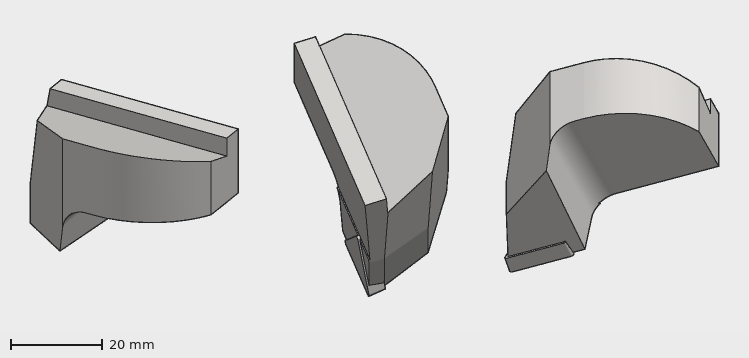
import cadquery as cq
import math

LENGTH = 49.5
INSERT_THICKNESS = 4.05
NOSE_RADIUS = 0.8
NOSE_SPACING = 13.65
INSERT_CLEARANCE = 7.0

HOLDER_LEFT = 1.25
HOLDER_BOTTOM = 0.6
LEDGE_TOP = 30.5
LEAN_START = 11.9
LEAN_ANGLE = 10.0
LEG_BOTTOM_RIGHT = 17.95
SHANK_BOTTOM = 14.55
ARCH_RADIUS = 5.95

FRONT = -25.7
PAD_BACK = -0.45
PAD_TOP = 13.1
LEDGE_BACK = -0.75
LEDGE_FRONT = -5.75
PEAK = 31.4
TOP_SLOPE = 15.0
BOTTOM_SLOPE = 5.0

FLANK_START = (HOLDER_LEFT, -INSERT_THICKNESS)
FLANK_END = (5.4, -15.8)
FLANK_LEAN = 7.1
FRONT_LEFT = (19.5, FRONT)
SWEEP_START = 27.5
SWEEP_RADIUS = 25.0

CUT_MARGIN = 4.95


def rise(run, degrees):
    return run * math.tan(math.radians(degrees))


def make_insert():
    """Equilateral triangle with rounded noses, narrowing from Y = 0 toward -Y."""
    left = NOSE_RADIUS
    right = left + NOSE_SPACING
    low = NOSE_RADIUS
    high = low + NOSE_SPACING * math.sin(math.radians(60))
    return (
        cq.Workplane("XZ")
        .polyline([(left, low), (right, low), ((left + right) / 2, high)])
        .close()
        .offset2D(NOSE_RADIUS, "arc")
        .extrude(INSERT_THICKNESS, taper=INSERT_CLEARANCE)
    )


def make_side_profile():
    """Bent holder profile, with an arched inner corner, over the full depth."""
    shank_corner = LEG_BOTTOM_RIGHT + rise(SHANK_BOTTOM - HOLDER_BOTTOM, LEAN_ANGLE)
    tangent = ARCH_RADIUS * math.tan(math.radians((90 - LEAN_ANGLE) / 2))
    lean = math.radians(LEAN_ANGLE)
    arch_low = (shank_corner - tangent * math.sin(lean), SHANK_BOTTOM - tangent * math.cos(lean))
    arch_high = (shank_corner + tangent, SHANK_BOTTOM)
    return (
        cq.Workplane("XZ", origin=(0, PAD_BACK, 0))
        .moveTo(HOLDER_LEFT, HOLDER_BOTTOM)
        .lineTo(LEG_BOTTOM_RIGHT, HOLDER_BOTTOM)
        .lineTo(*arch_low)
        .radiusArc(arch_high, ARCH_RADIUS)
        .lineTo(LENGTH, SHANK_BOTTOM)
        .lineTo(LENGTH, PEAK)
        .lineTo(HOLDER_LEFT + rise(PEAK - LEAN_START, LEAN_ANGLE), PEAK)
        .lineTo(HOLDER_LEFT, LEAN_START)
        .close()
        .extrude(PAD_BACK - FRONT)
    )


def make_plan_profile():
    """Plan outline, with a sloped flank and a swept front, over the full height."""
    sweep_run = LENGTH - SWEEP_START
    sweep_end = FRONT + SWEEP_RADIUS - math.sqrt(SWEEP_RADIUS**2 - sweep_run**2)
    return (
        cq.Workplane("XY")
        .moveTo(HOLDER_LEFT, 0)
        .lineTo(*FLANK_START)
        .lineTo(*FLANK_END)
        .lineTo(*FRONT_LEFT)
        .lineTo(SWEEP_START, FRONT)
        .radiusArc((LENGTH, sweep_end), -SWEEP_RADIUS)
        .lineTo(LENGTH, 0)
        .close()
        .extrude(PEAK)
    )


def make_depth_profile():
    """Pad, ledge, sloped top and relieved bottom, along the full length."""
    return (
        cq.Workplane("YZ")
        .polyline([
            (PAD_BACK, HOLDER_BOTTOM),
            (PAD_BACK, PAD_TOP),
            (LEDGE_BACK, PAD_TOP),
            (LEDGE_BACK, LEDGE_TOP),
            (LEDGE_FRONT, LEDGE_TOP),
            (LEDGE_FRONT, PEAK - rise(LEDGE_FRONT - FRONT, TOP_SLOPE)),
            (FRONT, PEAK),
            (FRONT, HOLDER_BOTTOM + rise(PAD_BACK - FRONT, BOTTOM_SLOPE)),
        ])
        .close()
        .extrude(LENGTH)
    )


def make_flank_cutter():
    """Wedge that leans the flank inward above LEAN_START."""
    run_x = FLANK_END[0] - FLANK_START[0]
    run_y = FLANK_END[1] - FLANK_START[1]
    run = math.hypot(run_x, run_y)
    inward = (-run_y / run, run_x / run, 0)
    along = (run_x / run, run_y / run, 0)
    height = PEAK - LEAN_START + CUT_MARGIN
    section = cq.Plane(
        origin=(*FLANK_START, LEAN_START),
        xDir=inward,
        normal=along,
    )
    return (
        cq.Workplane(section)
        .polyline([(0, 0), (rise(height, FLANK_LEAN), height), (-CUT_MARGIN, height), (-CUT_MARGIN, 0)])
        .close()
        .extrude(run + CUT_MARGIN, both=True)
    )


def make_holder(insert):
    """Common volume of the three profiles, with a leaned flank and an insert pocket."""
    body = make_side_profile().intersect(make_plan_profile()).intersect(make_depth_profile())
    return body.cut(make_flank_cutter()).cut(insert)


insert = make_insert()
holder = make_holder(insert)

result = cq.Compound.makeCompound([holder.val(), insert.val()])